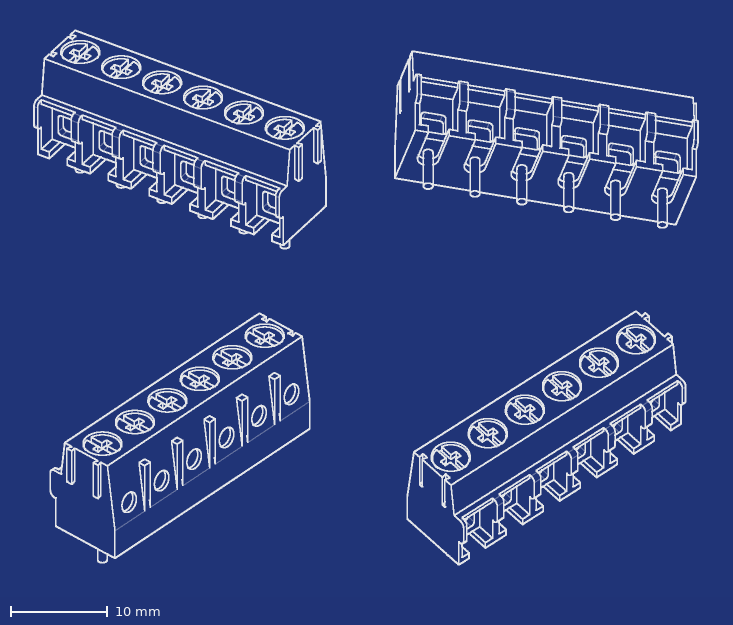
import cadquery as cq
import math


pole_count = 6
pitch = 5.0
length = pole_count * pitch
left_end = -length / 2
right_end = length / 2
pole_centers = [left_end + (i + 0.5) * pitch for i in range(pole_count)]
inner_joints = [left_end + i * pitch for i in range(1, pole_count)]

back_y = 4.0
depth = 9.0
nose_y = back_y - depth
front_y = back_y - 8.25
shelf_back_y = back_y - 7.5
top_front_y = back_y - 7.0
top_back_y = back_y - 1.05
height = 11.4
shelf_z = 7.1
nose_bottom_z = 3.6
back_slope_start_z = 3.6
nose_radius = 0.55
nose_bottom_radius = 0.65

cavity_width = 4.1
cavity_floor_z = 0.85
cavity_roof_z = shelf_z - nose_radius
cavity_depth = 2.05
cavity_back_y = front_y + cavity_depth
window_width = 2.6
window_bottom_z = 1.75
window_top_z = 4.25
window_depth = 1.0
window_corner_radius = 0.4

pin_diameter = 1.0
overall_height = 15.0
pin_length = overall_height - height
pin_embed_top_z = cavity_floor_z + 1.0
pin_slot_width = 2.2

screw_hole_diameter = 4.0
screw_diameter = 3.8
screw_recess = 0.3
drive_depth = 0.7
long_drive_width = 0.67
cross_drive_width = 0.73
cross_drive_length = 2.07

rib_width = 0.85
rib_top_z = 9.4
rib_root_y = back_y - 2.0
back_hole_diameter = 2.2
back_hole_z = 5.7
back_hole_depth = 0.5

dovetail_depth = 0.57
dovetail_neck = 0.4
dovetail_tip = 0.68
dovetail_offset = 1.82


def box(x_range, y_range, z_range):
    """Axis-aligned box spanning the given ranges."""
    sizes = [high - low for low, high in (x_range, y_range, z_range)]
    corner = (x_range[0], y_range[0], z_range[0])
    return cq.Workplane("XY").box(*sizes, centered=False).translate(corner)


def centered_range(center, width):
    return (center - width / 2, center + width / 2)


def vertical_cylinder(x, diameter, z_range):
    """Cylinder on the pin and screw axis of the pole at x."""
    base = cq.Workplane("XY", origin=(x, 0, z_range[0]))
    return base.circle(diameter / 2).extrude(z_range[1] - z_range[0])


def housing():
    """Profile with sloped faces and a rounded nose, extruded over all poles."""
    top_arc_mid = nose_radius * (1 - math.sqrt(0.5))
    bottom_arc_mid = nose_bottom_radius * (1 - math.sqrt(0.5))
    profile = (
        cq.Workplane("YZ", origin=(left_end, 0, 0))
        .moveTo(back_y, 0)
        .lineTo(back_y, back_slope_start_z)
        .lineTo(top_back_y, height)
        .lineTo(top_front_y, height)
        .lineTo(shelf_back_y, shelf_z)
        .lineTo(nose_y + nose_radius, shelf_z)
        .threePointArc(
            (nose_y + top_arc_mid, shelf_z - top_arc_mid),
            (nose_y, shelf_z - nose_radius),
        )
        .lineTo(nose_y, nose_bottom_z + nose_bottom_radius)
        .threePointArc(
            (nose_y + bottom_arc_mid, nose_bottom_z + bottom_arc_mid),
            (nose_y + nose_bottom_radius, nose_bottom_z),
        )
        .lineTo(front_y, nose_bottom_z)
        .lineTo(front_y, 0)
        .close()
    )
    return profile.extrude(length)


def spacer_rib(x):
    """Upright rib that carries the lower back face up over the slope."""
    return box(centered_range(x, rib_width), (rib_root_y, back_y), (0, rib_top_z))


def wire_entry(x):
    """Cutter for one wire cavity, its window and the pin slot in the floor."""
    across = centered_range(x, cavity_width)
    nose_gap = box(across, (nose_y, front_y), (cavity_floor_z, shelf_z))
    cavity = box(across, (front_y, cavity_back_y), (cavity_floor_z, cavity_roof_z))
    window = box(
        centered_range(x, window_width),
        (cavity_back_y, cavity_back_y + window_depth),
        (window_bottom_z, window_top_z),
    )
    window = window.edges("|Y").fillet(window_corner_radius)
    floor_range = (0, cavity_floor_z)
    slot = box(centered_range(x, pin_slot_width), (front_y, 0), floor_range)
    slot_end = vertical_cylinder(x, pin_slot_width, floor_range)
    return nose_gap.union(cavity).union(window).union(slot).union(slot_end)


def solder_pin(x):
    return vertical_cylinder(x, pin_diameter, (-pin_length, pin_embed_top_z))


def screw_cutter(x):
    """Clearance around one recessed screw head, including its cross drive."""
    head_top = height - screw_recess
    drive_bottom = head_top - drive_depth
    hole = vertical_cylinder(x, screw_hole_diameter, (drive_bottom, height))
    head = vertical_cylinder(x, screw_diameter, (drive_bottom, head_top))
    long_slot = box(
        centered_range(x, long_drive_width),
        centered_range(0, screw_hole_diameter),
        (drive_bottom, head_top),
    )
    cross_slot = box(
        centered_range(x, cross_drive_length),
        centered_range(0, cross_drive_width),
        (drive_bottom, head_top),
    )
    return hole.cut(head.cut(long_slot).cut(cross_slot))


def back_hole(x):
    """Cutter for the round opening, square to the sloped back face."""
    slope_run = back_y - top_back_y
    slope_rise = height - back_slope_start_z
    y = back_y - slope_run * (back_hole_z - back_slope_start_z) / slope_rise
    slope_plane = cq.Plane(
        origin=(x, y, back_hole_z), xDir=(1, 0, 0), normal=(0, slope_rise, slope_run)
    )
    return cq.Workplane(slope_plane).circle(back_hole_diameter / 2).extrude(-back_hole_depth)


def dovetail(end_x, y):
    """Upright dovetail that starts at end_x and widens toward +X."""
    outline = [
        (end_x, y - dovetail_neck / 2),
        (end_x + dovetail_depth, y - dovetail_tip / 2),
        (end_x + dovetail_depth, y + dovetail_tip / 2),
        (end_x, y + dovetail_neck / 2),
    ]
    base = cq.Workplane("XY", origin=(0, 0, shelf_z))
    return base.polyline(outline).close().extrude(height - shelf_z)


result = housing()

for joint_x in inner_joints:
    result = result.union(spacer_rib(joint_x))

for pole_x in pole_centers:
    result = result.cut(wire_entry(pole_x))
    result = result.cut(screw_cutter(pole_x))
    result = result.cut(back_hole(pole_x))
    result = result.union(solder_pin(pole_x))

for joint_y in (-dovetail_offset, dovetail_offset):
    result = result.cut(dovetail(left_end, joint_y))
    result = result.union(dovetail(right_end, joint_y))